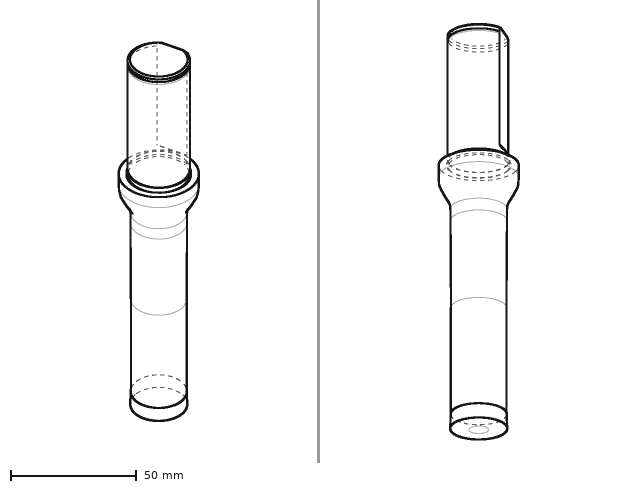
import cadquery as cq
import math

total_length = 170.0
head_height = 6.8
taper_bottom_z = 52.4
neck_bottom_z = 90.0
neck_top_z = 95.0
collar_bottom_z = 108.8
collar_top_z = 113.9
undercut_floor_z = 113.4
relief_top_z = 116.0
flat_bottom_z = 119.0

body_diameter = 22.3
neck_diameter = 22.6
collar_diameter = 32.0
shank_diameter = 25.0
relief_diameter = 24.5
undercut_diameter = 25.8

collar_round_radius = 13.6

end_chamfer_width = 1.0
end_chamfer_height = 0.7
groove_top_depth = 1.0
groove_floor_depth = 2.2
groove_bottom_depth = 3.2
flat_distance = 10.4

head_top_diameter = 22.5
head_rim_diameter = 22.8
head_face_diameter = 7.8
rim_top_z = 1.0
rim_bottom_z = 0.5

body_radius = body_diameter / 2
neck_radius = neck_diameter / 2
collar_radius = collar_diameter / 2
shank_radius = shank_diameter / 2
relief_radius = relief_diameter / 2
undercut_radius = undercut_diameter / 2


def revolve_profile(profile):
    """Turn a closed (radius, height) outline about the Z axis."""
    return profile.close().revolve(360, (0, 0, 0), (0, 1, 0))


def flare_points():
    """Points of the smooth S-curve from collar to neck, placed on two tangent arcs:
    convex middle, join, concave middle.
    """
    drop = collar_bottom_z - neck_top_z
    step = collar_radius - neck_radius
    sweep = 2 * math.atan2(step, drop)
    neck_round_radius = drop / math.sin(sweep) - collar_round_radius

    def convex(angle):
        return (
            collar_radius - collar_round_radius * (1 - math.cos(angle)),
            collar_bottom_z - collar_round_radius * math.sin(angle),
        )

    concave_middle = (
        neck_radius + neck_round_radius * (1 - math.cos(sweep / 2)),
        neck_top_z + neck_round_radius * math.sin(sweep / 2),
    )
    return convex(sweep / 2), convex(sweep), concave_middle


def make_flat_cutter():
    """Prism that cuts the +Y flat, with a 45 degree run-out at its lower end."""
    reach = collar_diameter
    run_out = reach - flat_distance
    return (
        cq.Workplane("YZ")
        .moveTo(flat_distance, flat_bottom_z)
        .lineTo(reach, flat_bottom_z - run_out)
        .lineTo(reach, total_length)
        .lineTo(flat_distance, total_length)
        .close()
        .extrude(collar_radius, both=True)
    )


def make_flat_limit():
    """Region above the collar, where the flat may remove material."""
    height = total_length - relief_top_z
    return cq.Workplane("XY").workplane(offset=relief_top_z).circle(collar_radius).extrude(height)


def make_holder():
    """Turned drill body with collar, undercut and a flatted, grooved shank."""
    convex_middle, flare_join, concave_middle = flare_points()
    profile = (
        cq.Workplane("XZ")
        .moveTo(0, head_height)
        .lineTo(body_radius, head_height)
        .lineTo(body_radius, taper_bottom_z)
        .lineTo(neck_radius, neck_bottom_z)
        .lineTo(neck_radius, neck_top_z)
        .spline(
            [concave_middle, flare_join, convex_middle, (collar_radius, collar_bottom_z)],
            tangents=[(0, 1), (0, 1)],
            includeCurrent=True,
        )
        .lineTo(collar_radius, collar_top_z)
        .lineTo(undercut_radius, collar_top_z)
        .lineTo(relief_radius, undercut_floor_z)
        .lineTo(relief_radius, relief_top_z)
        .lineTo(shank_radius, relief_top_z)
        .lineTo(shank_radius, total_length - groove_bottom_depth)
        .lineTo(relief_radius, total_length - groove_floor_depth)
        .lineTo(shank_radius, total_length - groove_top_depth)
        .lineTo(shank_radius, total_length - end_chamfer_height)
        .lineTo(shank_radius - end_chamfer_width, total_length)
        .lineTo(0, total_length)
    )
    flat_cutter = make_flat_cutter().intersect(make_flat_limit())
    return revolve_profile(profile).cut(flat_cutter).solids()


def make_cutting_head():
    """Head that widens slightly to its rim and ends in a shallow cone with a small face."""
    rim_radius = head_rim_diameter / 2
    profile = (
        cq.Workplane("XZ")
        .lineTo(head_face_diameter / 2, 0)
        .lineTo(rim_radius, rim_bottom_z)
        .lineTo(rim_radius, rim_top_z)
        .lineTo(head_top_diameter / 2, head_height)
        .lineTo(0, head_height)
    )
    return revolve_profile(profile).solids()


holder = make_holder()
cutting_head = make_cutting_head()
result = cq.Compound.makeCompound([holder.val(), cutting_head.val()])